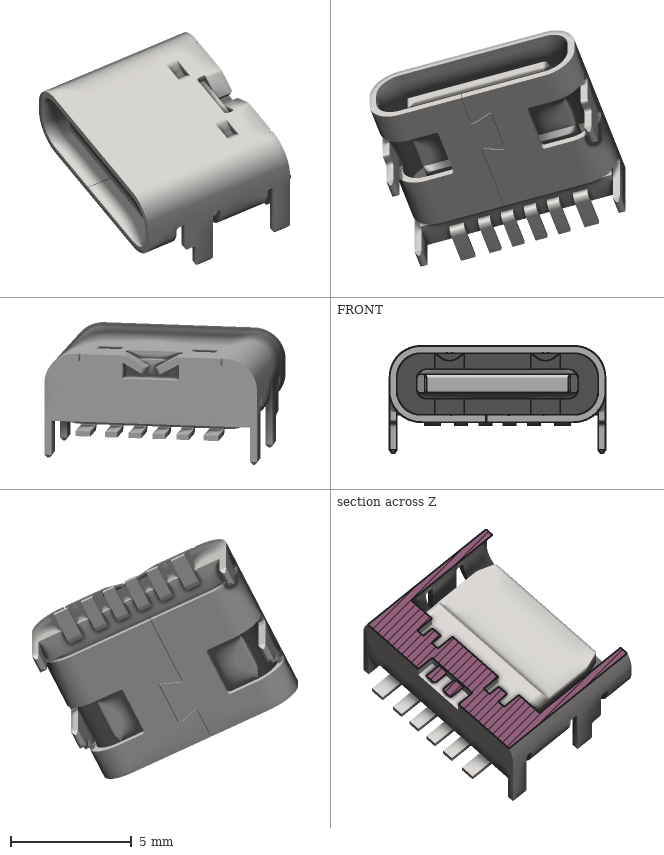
import cadquery as cq
import math


shell_width = 8.94
shell_height = 3.165
shell_length = 6.785
shell_radius = 1.305
wall = 0.3
inner_width = shell_width - 2 * wall
inner_height = shell_height - 2 * wall
inner_radius = shell_radius - wall
half_width = shell_width / 2
roof_bottom = shell_height - wall

overlap = 0.09

leg_bottom = -1.29
leg_tip_height = 0.15
leg_tip_inset_y = 0.14
leg_tip_inset_x = 0.11
relief_top = 1.5
relief_radius = 0.125
front_window_start = 1.34
front_leg_start = 1.74
front_leg_step = 2.27
front_leg_end = 3.08
front_window_end = 3.5
floor_end = 5.7
rear_leg_start = 6.0
step_radius = 0.17
shoulder_radius = 0.125
window_reach = 1.92

seam_gap = 0.03
seam_offset = 0.465
seam_near = 1.41
seam_far = 2.68
seam_lean = 0.34
seam_corner = 0.07

notch_width = 2.38
notch_front = 5.62
notch_radius = 0.125
tab_start = 6.03
tab_length = 0.97
tab_angle = 29.0
tab_corner = 0.12
recess_start = 5.99
recess_depth = 0.98

rear_relief_x = 3.02
rear_relief_radius = 0.17

spring_offset = 1.985
spring_width = 1.22
spring_front = 4.97
spring_back = 5.49
spring_angle = 37.0
spring_valley_radius = 0.28

block_start = 5.81
plug_start = 4.65

tongue_width = 6.67
tongue_bottom = 1.225
tongue_top = 1.985
tongue_tip = 0.545
tongue_taper_end = 1.54
tongue_taper = 0.32
tongue_tip_corner = 0.08
tongue_edge = 0.1
tip_radius_top = 0.17
tip_radius_bottom = 0.09
base_bottom = 0.97
base_top = 2.19
base_corner = 0.4
ramp_start = 3.58
ramp_end = 3.755

pin_positions = (0.5, 1.5, 2.69)
pin_widths = (0.52, 0.52, 0.63)
pin_end = 7.7
pin_bottom = -0.125
pin_thickness = 0.22
pin_start = 6.17
pin_bend_inner = 0.07
pin_root_top = 2 * wall


def box(x0, x1, y0, y1, z0, z1):
    return cq.Workplane("XY").box(x1 - x0, y1 - y0, z1 - z0, centered=False).translate((x0, y0, z0))


def rounded_bar(width, height, radius, y0, y1):
    """Bar along Y with rounded long edges, centred on the shell section."""
    bar = box(-width / 2, width / 2, y0, y1, (shell_height - height) / 2, (shell_height + height) / 2)
    return bar.edges("|Y").fillet(radius)


def mirror_pair(half):
    return half.union(half.mirror("YZ"))


def make_shell():
    shell = rounded_bar(shell_width, shell_height, shell_radius, 0, shell_length)
    shell = shell.cut(rounded_bar(inner_width, inner_height, inner_radius, 0, shell_length))
    rear_floor = box(-half_width, half_width, floor_end, shell_length, -overlap, relief_top)
    shell = shell.cut(rear_floor.edges("|X and >Z and <Y").fillet(relief_radius))
    window = box(-half_width, -window_reach, front_window_start, front_window_end, -overlap, relief_top)
    window = window.edges("|X and >Z").fillet(relief_radius)
    window = window.edges("|Z and >X").fillet(relief_radius)
    return shell.cut(mirror_pair(window))


def leg_tip(y0, y1):
    """Straight leg end that narrows on all four sides."""
    width = y1 - y0
    straight = box(-half_width, -half_width + wall, y0, y1, leg_bottom + leg_tip_height, shell_radius)
    tip = (
        cq.Workplane("XY", origin=(-half_width + wall / 2, (y0 + y1) / 2, leg_bottom + leg_tip_height))
        .rect(wall, width)
        .workplane(offset=-leg_tip_height)
        .rect(wall - 2 * leg_tip_inset_x, width - 2 * leg_tip_inset_y)
        .loft(ruled=True)
    )
    return straight.union(tip)


def relief_corner(y, side):
    """Sliver that rounds the top of a relief slot where it meets a leg; side is the slot direction in Y."""
    return (
        cq.Workplane("YZ", origin=(-half_width, 0, 0))
        .moveTo(y, relief_top)
        .lineTo(y + side * relief_radius, relief_top)
        .radiusArc((y, relief_top - relief_radius), -side * relief_radius)
        .close()
        .extrude(wall)
    )


def make_legs():
    rear = leg_tip(rear_leg_start, shell_length)
    rear = rear.union(box(-half_width, -half_width + wall, rear_leg_start, shell_length, 0, shell_height / 2))
    front = leg_tip(front_leg_step, front_leg_end)
    shoulder = box(-half_width, -half_width + wall, front_leg_start, front_leg_end, 0, shell_height / 2)
    front = front.union(shoulder)
    inner_step = cq.selectors.NearestToPointSelector((-half_width + wall / 2, front_leg_step, 0))
    outer_step = cq.selectors.NearestToPointSelector((-half_width + wall / 2, front_leg_start, 0))
    front = front.edges(inner_step).fillet(step_radius)
    front = front.edges(outer_step).fillet(shoulder_radius)
    legs = rear.union(front)
    for y, side in ((rear_leg_start, -1), (front_leg_end, 1), (front_leg_start, -1)):
        legs = legs.union(relief_corner(y, side))
    return mirror_pair(legs)


def make_seam():
    """Narrow gap that steps sideways around a dovetail lock."""
    path = [
        (-seam_offset, -overlap),
        (-seam_offset, seam_near),
        (seam_offset, seam_near - seam_lean),
        (seam_offset, seam_far + seam_lean),
        (-seam_offset, seam_far),
        (-seam_offset, floor_end + overlap),
    ]
    line = cq.Wire.makePolygon([cq.Vector(x, y, 0) for x, y in path])
    rounded = line.fillet(seam_corner)
    return cq.Workplane("XY").newObject([rounded]).toPending().offset2D(seam_gap / 2).extrude(wall)


def make_roof_notch():
    notch = box(-notch_width / 2, notch_width / 2, notch_front, shell_length, roof_bottom, shell_height)
    return notch.edges("|Z and <Y").fillet(notch_radius)


def make_rear_reliefs():
    relief = (
        cq.Workplane("XY", origin=(0, 0, roof_bottom))
        .moveTo(rear_relief_x - rear_relief_radius, shell_length)
        .radiusArc((rear_relief_x, shell_length - rear_relief_radius), rear_relief_radius)
        .lineTo(rear_relief_x, shell_length)
        .close()
        .extrude(wall)
    )
    return mirror_pair(relief)


def make_tabs():
    """Roof flaps folded down about the lower edge of the notch sides."""
    fold_x = -notch_width / 2
    flap = box(0, tab_length, tab_start, shell_length, 0, wall)
    flap = flap.edges("|Z and >X").fillet(tab_corner)
    flap = flap.rotate((0, 0, 0), (0, 1, 0), tab_angle).translate((fold_x, 0, roof_bottom))
    angle = math.radians(tab_angle)
    bend = (
        cq.Workplane("XZ", origin=(fold_x, shell_length, roof_bottom))
        .lineTo(0, wall)
        .radiusArc((wall * math.sin(angle), wall * math.cos(angle)), wall)
        .close()
        .extrude(shell_length - tab_start)
    )
    return mirror_pair(flap.union(bend))


def spring_slots(front, bottom):
    """Pair of openings as wide as the springs, reaching forward to front and down to bottom."""
    inner_x = spring_offset - spring_width / 2
    slot = box(inner_x, inner_x + spring_width, front, spring_back, bottom, shell_height)
    return mirror_pair(slot)


def make_spring(x):
    """Strip of the roof pressed down into a rounded V of constant thickness."""
    half = spring_width / 2
    angle = math.radians(spring_angle)
    sine = math.sin(angle)
    shoulder_drop = wall * (1 - math.cos(angle))
    shoulder_x = half - wall * sine
    valley_x = spring_valley_radius * sine
    valley_top = -shoulder_drop - (shoulder_x - valley_x) * math.tan(angle)
    under_radius = spring_valley_radius + wall
    under_x = under_radius * sine
    under_z = valley_top - wall * math.cos(angle)
    return (
        cq.Workplane("XZ", origin=(x, spring_back, shell_height))
        .moveTo(-half, 0)
        .radiusArc((-shoulder_x, -shoulder_drop), wall)
        .lineTo(-valley_x, valley_top)
        .radiusArc((valley_x, valley_top), -spring_valley_radius)
        .lineTo(shoulder_x, -shoulder_drop)
        .radiusArc((half, 0), wall)
        .lineTo(half, -wall)
        .lineTo(under_x, under_z)
        .radiusArc((-under_x, under_z), under_radius)
        .lineTo(-half, -wall)
        .close()
        .extrude(spring_back - spring_front)
    )


def make_insulator():
    body = rounded_bar(inner_width, inner_height, inner_radius, plug_start, shell_length)
    half = inner_width / 2
    body = body.union(box(-half, half, block_start, shell_length, wall, shell_height / 2))
    body = body.cut(spring_slots(plug_start, 0))
    recess_bottom = shell_height - recess_depth
    recess = box(-notch_width / 2, notch_width / 2, recess_start, shell_length, recess_bottom, shell_height)
    return body.cut(recess)


def tongue_section(bottom, top, corner, y):
    """Rounded rectangle across the tongue at one depth."""
    sketch = cq.Sketch().rect(tongue_width, top - bottom).vertices().fillet(corner)
    section = cq.Workplane("XZ", origin=(0, y, (bottom + top) / 2)).placeSketch(sketch)
    return section.extrude(-0.09).faces("<Y").wires().val()


def make_tongue():
    sections = [
        tongue_section(tongue_bottom, tongue_top, tongue_edge, tongue_tip),
        tongue_section(tongue_bottom, tongue_top, tongue_edge, ramp_start),
        tongue_section(base_bottom, base_top, base_corner, ramp_end),
        tongue_section(base_bottom, base_top, base_corner, spring_back + overlap),
    ]
    tongue = cq.Workplane(cq.Solid.makeLoft(sections, True))
    half = tongue_width / 2
    tip_half = half - tongue_taper
    back = shell_length
    right_side = [
        (tip_half - tongue_tip_corner, tongue_tip),
        (tip_half, tongue_tip + tongue_tip_corner),
        (half, tongue_taper_end),
        (half, back),
    ]
    left_side = [(-x, y) for x, y in reversed(right_side)]
    plan = cq.Workplane("XY").polyline(right_side + left_side).close().extrude(shell_height)
    profile = box(-half, half, tongue_tip, back, tongue_bottom, tongue_top)
    profile = profile.edges("|X and <Y and >Z").fillet(tip_radius_top)
    profile = profile.edges("|X and <Y and <Z").fillet(tip_radius_bottom)
    profile = profile.union(box(-half, half, ramp_start, back, 0, shell_height))
    return tongue.intersect(plan).intersect(profile)


def make_pin(x, width):
    """Flat tail with an upright end rooted in the insulator."""
    x0 = x - width / 2
    x1 = x + width / 2
    tail = box(x0, x1, pin_start, pin_end, pin_bottom, pin_bottom + pin_thickness)
    upright = box(x0, x1, pin_start, pin_start + pin_thickness, pin_bottom, pin_root_top)
    bend_corner = (x, pin_start + pin_thickness, pin_bottom + pin_thickness)
    bend_edge = cq.selectors.NearestToPointSelector(bend_corner)
    heel_edge = cq.selectors.NearestToPointSelector((x, pin_start, pin_bottom))
    pin = tail.union(upright).edges(bend_edge).fillet(pin_bend_inner)
    return pin.edges(heel_edge).fillet(pin_bend_inner + pin_thickness)


shell = make_shell().cut(make_roof_notch()).cut(make_rear_reliefs()).cut(make_seam())
shell = shell.cut(spring_slots(spring_front, roof_bottom)).union(make_legs())
result = shell.union(make_insulator()).union(make_tongue()).union(make_tabs())
for side in (-1, 1):
    result = result.union(make_spring(side * spring_offset))
    for position, width in zip(pin_positions, pin_widths):
        result = result.union(make_pin(side * position, width))